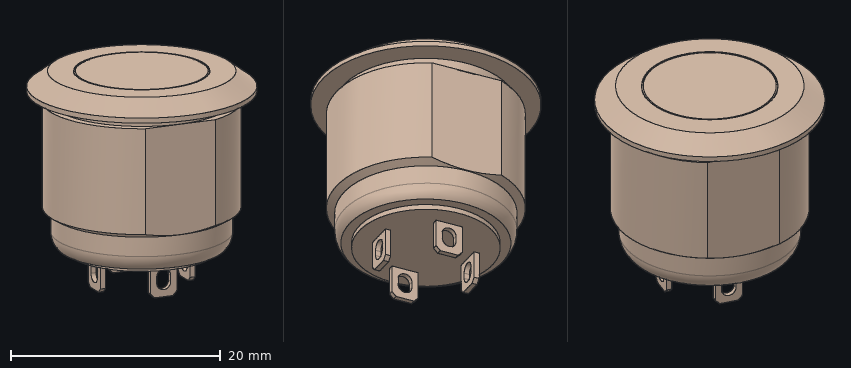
import cadquery as cq
import math


flange_diameter = 22.0
face_diameter = 18.0
rim_height = 0.5
flange_height = 2.0
button_diameter = 13.0
button_chamfer = 0.15

neck_diameter = 17.4
neck_height = 1.0
thread_diameter = 19.0
thread_height = 10.52
thread_chamfer_height = 0.48
across_flats = 17.51

cup_straight_height = 1.94
cup_curve_height = 1.4
cup_curve_radius = 1.98
base_diameter = 14.2
base_height = 0.53

overall_height = 21.15
terminal_count = 4
terminal_width = 2.8
terminal_thickness = 0.55
terminal_outer_offset = 5.0
terminal_chamfer = 0.45
eyelet_width = 1.45
eyelet_height = 2.05
eyelet_top_gap = 0.5

thread_top = -neck_height
thread_bottom = thread_top - thread_height
cup_top = thread_bottom - thread_chamfer_height
curve_top = cup_top - cup_straight_height
cup_bottom = curve_top - cup_curve_height
base_bottom = cup_bottom - base_height
terminal_bottom = flange_height - overall_height


def make_flange():
    """Flat rim under a cone that narrows to the front face."""
    return (
        cq.Workplane("XZ")
        .moveTo(0, 0)
        .lineTo(flange_diameter / 2, 0)
        .lineTo(flange_diameter / 2, rim_height)
        .lineTo(face_diameter / 2, flange_height)
        .lineTo(0, flange_height)
        .close()
        .revolve(360, (0, 0, 0), (0, 1, 0))
    )


def make_button_groove():
    """V-shaped ring: upright outer wall, chamfered button edge inside."""
    button_radius = button_diameter / 2
    return (
        cq.Workplane("XZ")
        .moveTo(button_radius - button_chamfer, flange_height)
        .lineTo(button_radius, flange_height)
        .lineTo(button_radius, flange_height - button_chamfer)
        .close()
        .revolve(360, (0, 0, 0), (0, 1, 0))
    )


def make_thread():
    """Threaded barrel, coned at its lower end, with a flat on the -X and +X sides."""
    barrel = (
        cq.Workplane("XZ")
        .moveTo(0, thread_top)
        .lineTo(thread_diameter / 2, thread_top)
        .lineTo(thread_diameter / 2, thread_bottom)
        .lineTo(neck_diameter / 2, cup_top)
        .lineTo(0, cup_top)
        .close()
        .revolve(360, (0, 0, 0), (0, 1, 0))
    )
    flats = (
        cq.Workplane("XY", origin=(0, 0, cup_top))
        .rect(across_flats, thread_diameter)
        .extrude(thread_top - cup_top)
    )
    return barrel.intersect(flats)


def make_core():
    """Neck, rear cup with its rounded lower edge, and base disc as one turned shape."""
    cup_radius = neck_diameter / 2
    arc_centre_x = cup_radius - cup_curve_radius
    arc_angle = math.asin(cup_curve_height / cup_curve_radius)

    def on_arc(angle):
        return (
            arc_centre_x + cup_curve_radius * math.cos(angle),
            curve_top - cup_curve_radius * math.sin(angle),
        )

    return (
        cq.Workplane("XZ")
        .moveTo(0, 0)
        .lineTo(cup_radius, 0)
        .lineTo(cup_radius, curve_top)
        .threePointArc(on_arc(arc_angle / 2), on_arc(arc_angle))
        .lineTo(base_diameter / 2, cup_bottom)
        .lineTo(base_diameter / 2, base_bottom)
        .lineTo(0, base_bottom)
        .close()
        .revolve(360, (0, 0, 0), (0, 1, 0))
    )


def make_terminal():
    """Terminal on the -Y side: upright blade with chamfered tip and an oblong eyelet."""
    length = base_bottom - terminal_bottom
    blade = (
        cq.Workplane("XY", origin=(0, terminal_thickness / 2 - terminal_outer_offset, terminal_bottom))
        .box(terminal_width, terminal_thickness, length, centered=(True, True, False))
        .faces("<Z")
        .edges("|Y")
        .chamfer(terminal_chamfer)
    )
    eyelet_z = base_bottom - eyelet_top_gap - eyelet_height / 2
    eyelet = (
        cq.Workplane("XZ", origin=(0, 0, eyelet_z))
        .slot2D(eyelet_height, eyelet_width, 90)
        .extrude(terminal_outer_offset)
    )
    return blade.cut(eyelet)


result = make_flange().cut(make_button_groove()).union(make_core()).union(make_thread())

terminal = make_terminal()
for index in range(terminal_count):
    turn = index * 360 / terminal_count
    result = result.union(terminal.rotate((0, 0, 0), (0, 0, 1), turn))